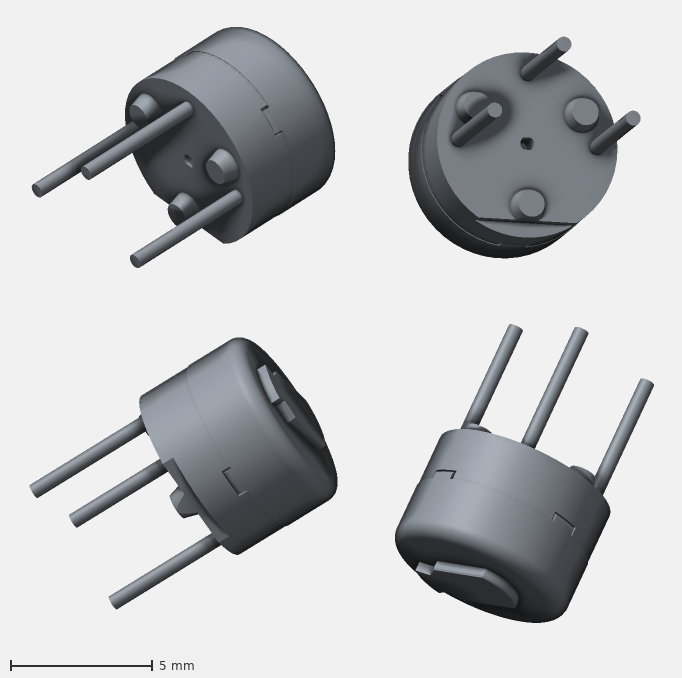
import cadquery as cq
import math

total_length = 9.63
pin_length = 5.0
seam_y = 2.03
cap_top_y = 4.28
knob_top_y = total_length - pin_length

cap_radius = 3.34
base_radius = 3.31
cap_edge_radius = 0.52
flat_z = -2.78
flat_length = 0.44

tab_angles = (45, 135, 270)
tab_length = 0.36
tab_depth = 0.29
tab_edge_radius = 0.19
tab_half_angle = 8.0
notch_half_angle = 9.8

pin_radius = 0.27
pin_offset = 2.54
standoff_angles = (30, 150, 270)
standoff_offset = 2.29
standoff_base_radius = 0.65
standoff_tip_radius = 0.48
standoff_height = 0.58
hole_diameter = 0.51
hole_flat_width = 0.44
hole_depth = 0.96

knob_radius = 1.67
knob_half_width = 1.13
knob_flat_end = 1.07
knob_shoulder = 0.52
knob_chamfer_height = 0.07
knob_chamfer_inset = 0.03
pointer_radius = 2.26
pointer_half_angle = 21.0
knob_turn = 34.0


def xz_plane(y):
    """Plane at height y with local X = X, local Y = Z and normal -Y."""
    return cq.Workplane("XZ", origin=(0, y, 0))


def polar(radius, degrees):
    angle = math.radians(degrees)
    return (radius * math.cos(angle), radius * math.sin(angle))


def cylinder(radius, y_start, y_end):
    return xz_plane(y_start).circle(radius).extrude(y_start - y_end)


def sector(radius, half_angle, y_start, y_end, middle_angle=0):
    """Pie slice about the Y axis, centred on middle_angle."""
    return (
        xz_plane(y_start)
        .lineTo(*polar(radius, middle_angle - half_angle))
        .threePointArc(polar(radius, middle_angle), polar(radius, middle_angle + half_angle))
        .close()
        .extrude(y_start - y_end)
    )


def make_body():
    base = cylinder(base_radius, 0, seam_y)
    cap = cylinder(cap_radius, seam_y, cap_top_y).faces(">Y").edges().fillet(cap_edge_radius)
    core_radius = cap_radius - tab_depth
    core = cylinder(core_radius, 0, seam_y)
    tab_end_y = seam_y - tab_length
    tab_ring = cylinder(cap_radius, tab_end_y, seam_y).faces("<Y").edges().fillet(tab_edge_radius)
    for angle in tab_angles:
        base = base.cut(sector(2 * cap_radius, notch_half_angle, tab_end_y, seam_y, angle))
    base = base.union(core)
    body = base.union(cap)
    for angle in tab_angles:
        tab = tab_ring.intersect(sector(2 * cap_radius, tab_half_angle, tab_end_y, seam_y, angle))
        body = body.union(tab)
    return body


def make_standoff(angle):
    x, z = polar(standoff_offset, angle)
    return (
        xz_plane(0)
        .center(x, z)
        .circle(standoff_base_radius)
        .workplane(offset=standoff_height)
        .circle(standoff_tip_radius)
        .loft()
    )


def make_flat_cutter():
    """Block that trims the base edge and the lowest standoff to a flat."""
    height = cap_radius
    length = flat_length + standoff_height
    return (
        xz_plane(flat_length)
        .center(0, flat_z - height / 2)
        .rect(2 * cap_radius, height)
        .extrude(length)
    )


def make_pins():
    positions = [(-pin_offset, 0), (0, pin_offset), (pin_offset, 0)]
    return xz_plane(0).pushPoints(positions).circle(pin_radius).extrude(pin_length)


def make_center_hole():
    """Round hole with two flats, parallel to X."""
    flats = xz_plane(0).rect(hole_diameter, hole_flat_width).extrude(-hole_depth)
    return cylinder(hole_diameter / 2, 0, hole_depth).intersect(flats)


def make_knob():
    arc_end = -math.sqrt(knob_radius**2 - knob_half_width**2)
    front = knob_flat_end + knob_shoulder
    front_half_width = knob_half_width - knob_shoulder
    grip = (
        xz_plane(cap_top_y)
        .moveTo(arc_end, knob_half_width)
        .threePointArc((-knob_radius, 0), (arc_end, -knob_half_width))
        .lineTo(knob_flat_end, -knob_half_width)
        .lineTo(front, -front_half_width)
        .lineTo(front, front_half_width)
        .lineTo(knob_flat_end, knob_half_width)
        .close()
        .extrude(cap_top_y - knob_top_y)
        .faces(">Y")
        .edges()
        .chamfer(knob_chamfer_height, knob_chamfer_inset)
    )
    pointer = sector(pointer_radius, pointer_half_angle, cap_top_y, knob_top_y)
    return grip.union(pointer).rotate((0, 0, 0), (0, 1, 0), knob_turn)


result = make_body()
for standoff_angle in standoff_angles:
    result = result.union(make_standoff(standoff_angle))
result = result.cut(make_flat_cutter()).cut(make_center_hole())
result = result.union(make_pins()).union(make_knob())